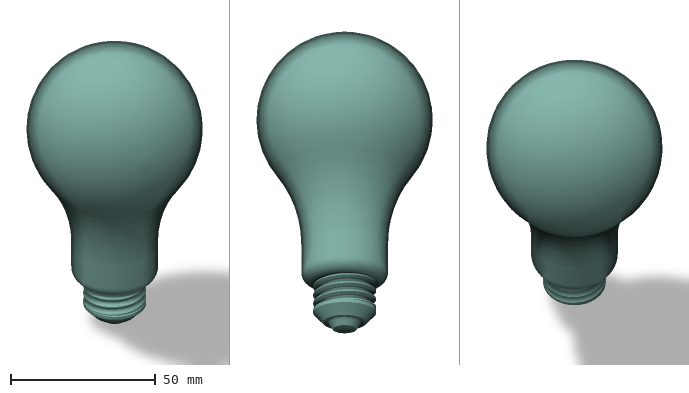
import cadquery as cq
import math


TOTAL_HEIGHT = 107.5
GLOBE_DIAMETER = 61.0
HOUSING_DIAMETER = 30.0
HOUSING_BOTTOM_Z = 17.1
HOUSING_EDGE_FILLET = 3.9
NECK_BOTTOM_Z = 31.3

THREAD_MAJOR_DIAMETER = 21.7
THREAD_MINOR_DIAMETER = 18.4
THREAD_PITCH = 3.0
THREAD_FLANK_ANGLE = 30
CREST_FLAT = THREAD_PITCH / 8
GROOVE_START_Z = 3.7
GROOVE_TURNS = 6
GROOVE_OVERSHOOT = 0.2
SHANK_SEAM_ANGLE = 90
COLLAR_TOP_Z = 7.2
COLLAR_BOTTOM_Z = 6.0

CONE_BOTTOM_Z = 2.5
CONE_BOTTOM_DIAMETER = 15
TIP_TOP_DIAMETER = 11.6
TIP_BOTTOM_DIAMETER = 8.2

GLOBE_RADIUS = GLOBE_DIAMETER / 2
GLOBE_CENTER_Z = TOTAL_HEIGHT - GLOBE_RADIUS
HOUSING_RADIUS = HOUSING_DIAMETER / 2
THREAD_MAJOR_RADIUS = THREAD_MAJOR_DIAMETER / 2
THREAD_MINOR_RADIUS = THREAD_MINOR_DIAMETER / 2
THREAD_LENGTH = HOUSING_BOTTOM_Z - COLLAR_TOP_Z


def neck_radius():
    """Radius of the concave neck arc, tangent to both the globe and the housing cylinder.

    The arc centre lies at (housing radius + r, neck bottom), and its distance to the
    globe centre is (globe radius + r); solving that equality gives r.
    """
    drop = GLOBE_CENTER_Z - NECK_BOTTOM_Z
    return (HOUSING_RADIUS**2 + drop**2 - GLOBE_RADIUS**2) / (2 * (GLOBE_RADIUS - HOUSING_RADIUS))


def make_bulb():
    """Globe, flared neck and rounded housing, revolved as one smooth solid."""
    neck = neck_radius()
    neck_center_x = HOUSING_RADIUS + neck
    sweep = math.atan2(GLOBE_CENTER_Z - NECK_BOTTOM_Z, neck_center_x)

    def neck_point(angle):
        return (neck_center_x - neck * math.cos(angle), NECK_BOTTOM_Z + neck * math.sin(angle))

    outline = (
        cq.Workplane("XZ")
        .moveTo(0, HOUSING_BOTTOM_Z)
        .lineTo(HOUSING_RADIUS, HOUSING_BOTTOM_Z)
        .lineTo(HOUSING_RADIUS, NECK_BOTTOM_Z)
        .threePointArc(neck_point(sweep / 2), neck_point(sweep))
        .threePointArc((GLOBE_RADIUS, GLOBE_CENTER_Z), (0, TOTAL_HEIGHT))
        .close()
    )
    solid = outline.revolve(360, (0, 0, 0), (0, 1, 0))
    return solid.faces("<Z").edges().fillet(HOUSING_EDGE_FILLET)


def make_thread_groove():
    """Right-handed helical groove with a trapezoid section that is flat at the root."""
    flank_slope = math.tan(math.radians(THREAD_FLANK_ANGLE))
    outer_radius = THREAD_MAJOR_RADIUS + GROOVE_OVERSHOOT
    crest_half = (THREAD_PITCH - CREST_FLAT) / 2
    root_half = crest_half - (THREAD_MAJOR_RADIUS - THREAD_MINOR_RADIUS) * flank_slope
    outer_half = crest_half + GROOVE_OVERSHOOT * flank_slope

    helix = cq.Wire.makeHelix(THREAD_PITCH, GROOVE_TURNS * THREAD_PITCH, THREAD_MINOR_RADIUS)
    groove = (
        cq.Workplane("XZ")
        .polyline([
            (THREAD_MINOR_RADIUS, -root_half),
            (outer_radius, -outer_half),
            (outer_radius, outer_half),
            (THREAD_MINOR_RADIUS, root_half),
        ])
        .close()
        .sweep(cq.Workplane(helix), isFrenet=True)
    )
    return groove.translate((0, 0, GROOVE_START_Z))


def shank_cylinder(radius):
    """Solid cylinder that fills the height between the collar and the housing."""
    cylinder = cq.Workplane("XY").workplane(offset=COLLAR_TOP_Z).circle(radius).extrude(THREAD_LENGTH)
    return cylinder.rotate((0, 0, 0), (0, 0, 1), SHANK_SEAM_ANGLE)


def make_threaded_shank():
    """Shank whose thread runs out through both of its ends."""
    groove = make_thread_groove().intersect(shank_cylinder(HOUSING_RADIUS))
    return shank_cylinder(THREAD_MAJOR_RADIUS).cut(groove)


def make_contact():
    """Plain collar, insulator cone and stepped conical contact tip."""
    outline = (
        cq.Workplane("XZ")
        .polyline([
            (0, 0),
            (TIP_BOTTOM_DIAMETER / 2, 0),
            (TIP_TOP_DIAMETER / 2, CONE_BOTTOM_Z),
            (CONE_BOTTOM_DIAMETER / 2, CONE_BOTTOM_Z),
            (THREAD_MAJOR_RADIUS, COLLAR_BOTTOM_Z),
            (THREAD_MAJOR_RADIUS, COLLAR_TOP_Z),
            (0, COLLAR_TOP_Z),
        ])
        .close()
    )
    return outline.revolve(360, (0, 0, 0), (0, 1, 0))


def make_screw_base():
    """Threaded shank and contact end as one solid, butting against the housing underside."""
    return make_threaded_shank().union(make_contact())


bulb = make_bulb()
screw_base = make_screw_base()

result = cq.Compound.makeCompound([*bulb.solids().vals(), *screw_base.solids().vals()])